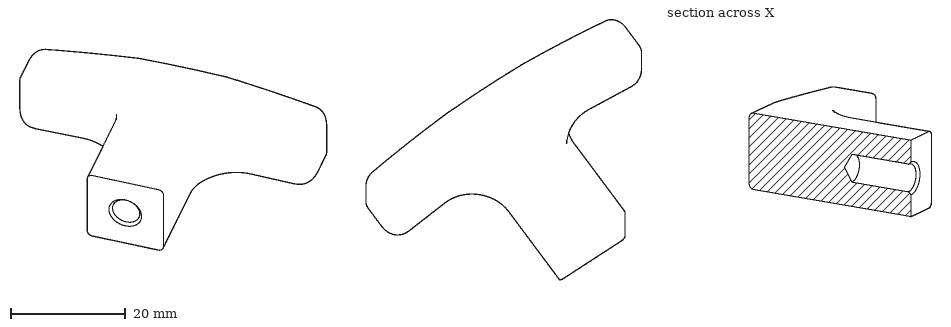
import cadquery as cq
import math

SPAN = 55.0
LENGTH = 33.0
THICKNESS = 14.0
STEM_WIDTH = 14.0

CROWN_RADIUS = 240.0
ARM_DROOP = math.radians(6.5)
THROAT_RADIUS = 7.5
THROAT_START_Y = 15.5
FRONT_CORNER_RADIUS = 3.5
REAR_CORNER_RADIUS = 3.0

HUB_HALF_WIDTH = 8.0
TAPER_ANGLE = math.radians(5.0)
TAPER_BLEND_RADIUS = 5.0
TIP_RADIUS = 3.0

EDGE_RADIUS = 1.0

HOLE_DIAMETER = 5.0
HOLE_MOUTH_DIAMETER = 6.0
HOLE_DEPTH = 12.0
DRILL_POINT_ANGLE = math.radians(118.0)

HALF_SPAN = SPAN / 2
HALF_STEM = STEM_WIDTH / 2
HALF_THICKNESS = THICKNESS / 2


def plan_body():
    """T-shaped plan outline extruded through the thickness, with rounded arm ends."""
    crown_end_y = LENGTH - CROWN_RADIUS + math.sqrt(CROWN_RADIUS**2 - HALF_SPAN**2)
    throat_x = HALF_STEM + THROAT_RADIUS
    mid_angle = (math.pi / 2 - ARM_DROOP) / 2
    throat_mid = (
        throat_x - THROAT_RADIUS * math.cos(mid_angle),
        THROAT_START_Y + THROAT_RADIUS * math.sin(mid_angle),
    )
    throat_end = (
        throat_x + THROAT_RADIUS * math.sin(ARM_DROOP),
        THROAT_START_Y + THROAT_RADIUS * math.cos(ARM_DROOP),
    )
    tip_y = throat_end[1] - (HALF_SPAN - throat_end[0]) * math.tan(ARM_DROOP)

    body = (
        cq.Workplane("XY")
        .workplane(offset=-HALF_THICKNESS)
        .moveTo(-HALF_STEM, 0)
        .lineTo(HALF_STEM, 0)
        .lineTo(HALF_STEM, THROAT_START_Y)
        .threePointArc(throat_mid, throat_end)
        .lineTo(HALF_SPAN, tip_y)
        .lineTo(HALF_SPAN, crown_end_y)
        .threePointArc((0, LENGTH), (-HALF_SPAN, crown_end_y))
        .lineTo(-HALF_SPAN, tip_y)
        .lineTo(-throat_end[0], throat_end[1])
        .threePointArc((-throat_mid[0], throat_mid[1]), (-HALF_STEM, THROAT_START_Y))
        .close()
        .extrude(THICKNESS)
    )
    body = body.faces("<X or >X").edges("|Z").edges("<Y").fillet(FRONT_CORNER_RADIUS)
    return body.faces("<X or >X").edges("|Z").edges(">Y").fillet(REAR_CORNER_RADIUS)


def taper_body():
    """Thickness profile: flat over the hub, blended into tapers that run to rounded tips."""
    tip_z = HALF_THICKNESS - (HALF_SPAN - HUB_HALF_WIDTH) * math.tan(TAPER_ANGLE)
    blend_x = HUB_HALF_WIDTH - TAPER_BLEND_RADIUS * math.tan(TAPER_ANGLE / 2)

    def blend_point(angle):
        """Point on the blend arc after it has turned by the given angle from the hub face."""
        x = blend_x + TAPER_BLEND_RADIUS * math.sin(angle)
        z = HALF_THICKNESS - TAPER_BLEND_RADIUS * (1 - math.cos(angle))
        return x, z

    mid_x, mid_z = blend_point(TAPER_ANGLE / 2)
    end_x, end_z = blend_point(TAPER_ANGLE)
    profile = cq.Workplane("XZ").moveTo(-HALF_SPAN, tip_z)
    for turn in (1, -1):
        profile = (
            profile.lineTo(-turn * end_x, turn * end_z)
            .threePointArc((-turn * mid_x, turn * mid_z), (-turn * blend_x, turn * HALF_THICKNESS))
            .lineTo(turn * blend_x, turn * HALF_THICKNESS)
            .threePointArc((turn * mid_x, turn * mid_z), (turn * end_x, turn * end_z))
            .lineTo(turn * HALF_SPAN, turn * tip_z)
            .lineTo(turn * HALF_SPAN, -turn * tip_z)
        )
    body = profile.close().extrude(-LENGTH)
    return body.faces("<X or >X").edges("|Y").fillet(TIP_RADIUS)


def stem_hole():
    """Drilled hole with a chamfered mouth and a conical bottom."""
    radius = HOLE_DIAMETER / 2
    mouth_radius = HOLE_MOUTH_DIAMETER / 2
    point_depth = radius / math.tan(DRILL_POINT_ANGLE / 2)
    return (
        cq.Workplane("XY")
        .moveTo(0, 0)
        .lineTo(mouth_radius, 0)
        .lineTo(radius, mouth_radius - radius)
        .lineTo(radius, HOLE_DEPTH)
        .lineTo(0, HOLE_DEPTH + point_depth)
        .close()
        .revolve(360, (0, 0, 0), (0, 1, 0))
    )


def is_rim_edge(edge):
    """True for the sharp edges between the side walls and the upper and lower faces."""
    box = edge.BoundingBox()
    on_stem_end = box.ymax < EDGE_RADIUS
    on_tip_face = box.xmin > HALF_SPAN - EDGE_RADIUS or box.xmax < EDGE_RADIUS - HALF_SPAN
    upright = box.zlen > EDGE_RADIUS and box.xlen + box.ylen < EDGE_RADIUS
    across_arm = box.ymin > THROAT_START_Y and box.xlen + box.zlen < EDGE_RADIUS < box.ylen
    return not (on_stem_end or on_tip_face or upright or across_arm)


handle = plan_body().intersect(taper_body())
handle = handle.edges().filter(is_rim_edge).fillet(EDGE_RADIUS)
result = handle.cut(stem_hole())